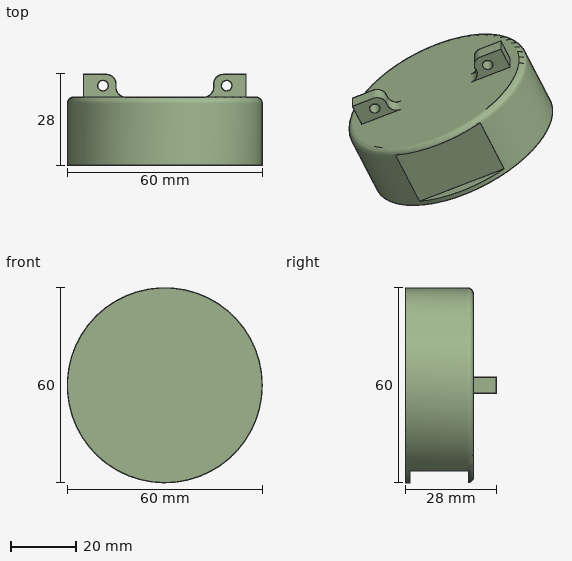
import cadquery as cq

body_diameter = 60.0
body_depth = 21.0
rear_edge_radius = 2.0

wall_thickness = 1.5
recess_height = 3.6

lug_length = 7.0
lug_thickness = 5.0
lug_inner_x = 15.0
lug_outer_x = 25.0
lug_corner_radius = 3.0
hole_diameter = 3.2
hole_x = 19.0

body_radius = body_diameter / 2
lug_tip_y = body_depth + lug_length


def make_body():
    """Solid disc with a rounded rear edge."""
    disc = cq.Workplane("XZ").circle(body_radius).extrude(-body_depth)
    return disc.faces(">Y").edges().fillet(rear_edge_radius)


def make_recess():
    """Block that removes the bottom of the rim between the front and rear walls."""
    return cq.Workplane("XY").box(
        body_diameter,
        body_depth - 2 * wall_thickness,
        recess_height,
        centered=(True, False, False),
    ).translate((0, wall_thickness, -body_radius))


def make_lug():
    """Right-hand lug: rounded inner corner, flared root and a vertical through hole."""
    root_y = body_depth - rear_edge_radius
    flare_x = lug_inner_x - lug_corner_radius
    lug = (
        cq.Workplane("XY")
        .workplane(offset=-lug_thickness / 2)
        .moveTo(lug_outer_x, root_y)
        .lineTo(lug_outer_x, lug_tip_y)
        .lineTo(lug_inner_x + lug_corner_radius, lug_tip_y)
        .radiusArc((lug_inner_x, lug_tip_y - lug_corner_radius), -lug_corner_radius)
        .lineTo(lug_inner_x, body_depth + lug_corner_radius)
        .radiusArc((flare_x, body_depth), lug_corner_radius)
        .lineTo(flare_x, root_y)
        .close()
        .extrude(lug_thickness)
    )
    hole = (
        cq.Workplane("XY")
        .center(hole_x, body_depth + lug_length / 2)
        .circle(hole_diameter / 2)
        .extrude(lug_thickness, both=True)
    )
    return lug.cut(hole)


right_lug = make_lug()
left_lug = right_lug.mirror("YZ")
result = make_body().cut(make_recess()).union(right_lug).union(left_lug)